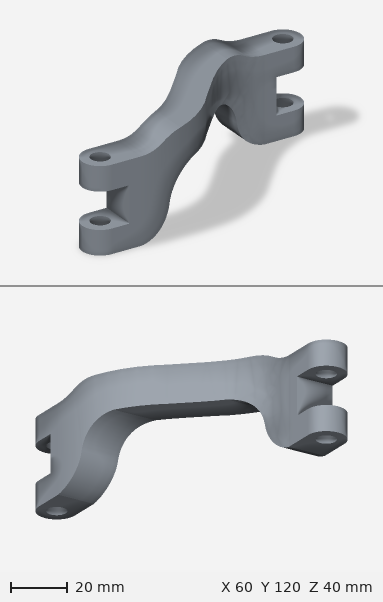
import cadquery as cq
import math

lug_width = 15.0
lug_round = lug_width / 2
lug_offset_x = 22.5
bridge_end_y = 40.0
pin_y = 52.5
pin_diameter = 7.5

crest_z = 40.0
lug_top_z = 35.0
arch_z = 25.0

slot_floor_y = 45.0
slot_bottom_z = 10.0
slot_top_z = 25.0

outer_radius = 50.0
waist_half_width = 10.0
inner_waist_angle = 48.0
inner_waist_pull = 18.0
inner_lug_pull = 20.0

arch_flat_half_length = 14.6
arch_radius = 15.0
crest_flat_half_length = 21.6


def point_on_arc(start, end, radius, side):
    """Middle point of the short arc from start to end, bulging left (1) or right (-1) of travel."""
    dx = end[0] - start[0]
    dy = end[1] - start[1]
    chord = math.hypot(dx, dy)
    sagitta = radius - math.sqrt(radius**2 - (chord / 2) ** 2)
    mid_x = (start[0] + end[0]) / 2 - side * sagitta * dy / chord
    mid_y = (start[1] + end[1]) / 2 + side * sagitta * dx / chord
    return mid_x, mid_y


def s_curve(sketch, start, end, radius, first_side):
    """Two equal arcs that bulge to opposite sides and meet halfway between start and end."""
    middle = ((start[0] + end[0]) / 2, (start[1] + end[1]) / 2)
    sketch = sketch.threePointArc(point_on_arc(start, middle, radius, first_side), middle)
    return sketch.threePointArc(point_on_arc(middle, end, radius, -first_side), end)


def side_wall(sketch, turn):
    """One S-shaped wall, with turn = 1 for the -X wall and -1 for the +X wall (its half-turn copy)."""
    lug_outer_x = lug_offset_x + lug_round
    lug_inner_x = lug_offset_x - lug_round
    angle = math.radians(inner_waist_angle)
    outer_start = (-turn * lug_outer_x, turn * bridge_end_y)
    waist = (-turn * waist_half_width, 0)
    waist_control = (
        waist[0] + turn * inner_waist_pull * math.sin(angle),
        -turn * inner_waist_pull * math.cos(angle),
    )
    inner_end = (turn * lug_inner_x, -turn * bridge_end_y)
    lug_control = (inner_end[0], inner_end[1] + turn * inner_lug_pull)
    sketch = sketch.threePointArc(point_on_arc(outer_start, waist, outer_radius, -1), waist)
    return sketch.bezier([waist_control, lug_control, inner_end], includeCurrent=True)


def bridge_plan():
    """S-shaped bridge as seen from above, extruded to the full height."""
    lug_outer_x = lug_offset_x + lug_round
    sketch = cq.Workplane("XY").moveTo(-lug_outer_x, bridge_end_y)
    sketch = side_wall(sketch, 1).lineTo(lug_outer_x, -bridge_end_y)
    sketch = side_wall(sketch, -1).close()
    return sketch.extrude(crest_z)


def bridge_profile():
    """Arched bridge in the YZ plane, extruded across the full width."""
    crest_run = bridge_end_y - crest_flat_half_length
    crest_rise = crest_z - lug_top_z
    crest_radius = (crest_run**2 + crest_rise**2) / (4 * crest_rise)

    sketch = cq.Workplane("YZ").moveTo(-bridge_end_y, 0).lineTo(-bridge_end_y, lug_top_z)
    sketch = s_curve(
        sketch, (-bridge_end_y, lug_top_z), (-crest_flat_half_length, crest_z), crest_radius, -1
    )
    sketch = sketch.lineTo(crest_flat_half_length, crest_z)
    sketch = s_curve(
        sketch, (crest_flat_half_length, crest_z), (bridge_end_y, lug_top_z), crest_radius, 1
    )
    sketch = sketch.lineTo(bridge_end_y, 0)
    sketch = s_curve(
        sketch, (bridge_end_y, 0), (arch_flat_half_length, arch_z), arch_radius, 1
    )
    sketch = sketch.lineTo(-arch_flat_half_length, arch_z)
    sketch = s_curve(
        sketch, (-arch_flat_half_length, arch_z), (-bridge_end_y, 0), arch_radius, -1
    )
    return sketch.close().extrude(lug_offset_x + lug_round, both=True)


def forked_lug():
    """Round-ended lug on the -X, +Y end with its fork slot and pin hole."""
    left_x = -lug_offset_x - lug_round
    right_x = -lug_offset_x + lug_round
    tip_y = pin_y + lug_round
    lug = (
        cq.Workplane("XY")
        .moveTo(left_x, bridge_end_y)
        .lineTo(left_x, pin_y)
        .threePointArc((-lug_offset_x, tip_y), (right_x, pin_y))
        .lineTo(right_x, bridge_end_y)
        .close()
        .extrude(lug_top_z)
    )
    slot = cq.Workplane("XY").box(
        lug_width, tip_y - slot_floor_y, slot_top_z - slot_bottom_z, centered=(True, False, False)
    ).translate((-lug_offset_x, slot_floor_y, slot_bottom_z))
    pin_hole = cq.Workplane("XY").center(-lug_offset_x, pin_y).circle(pin_diameter / 2).extrude(lug_top_z)
    return lug.cut(slot).cut(pin_hole)


result = bridge_plan().intersect(bridge_profile())
for half_turn in (0, 180):
    result = result.union(forked_lug().rotate((0, 0, 0), (0, 0, 1), half_turn))